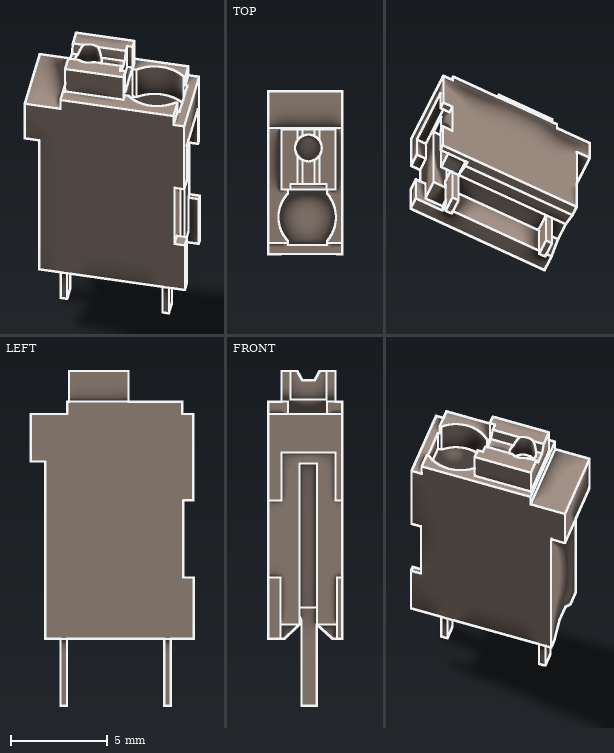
import cadquery as cq


width = 3.85
depth = 8.5
top_z = 12.33
shoulder_z = 11.7
upper_front_y = 0.03
front_wall_y = 0.55
rear_wall_y = 7.74
overhang_bottom_z = 9.22
crown_front_y = 0.6
crown_rear_y = 6.6

upper_lip_bottom_z = 7.2
upper_gap = (0.69, 3.51)
upper_gap_top_z = 9.7
lower_lip_top_z = 3.2
lower_gap = (0.63, 3.57)

groove = (1.62, 2.53)
groove_floor_y = 1.28
groove_top_z = 9.13

underside_z = 0.74
channel_mouth = (0.84, 3.35)

well_slot = (1.04, 3.05)
well_front_y = 0.5
well_floor_z = 10.37
bulge = (0.53, 3.52)
bulge_y = 1.95
bulge_half_length = 1.25

button_side = (0.69, 3.51)
button_front_y = 3.4
button_rear_y = 6.5
button_top_z = 13.93
button_notch = (1.15, 3.04)
button_notch_floor_z = 12.45
button_notch_depth = 0.29
vee_x = 2.09
vee_top_width = 1.16
vee_bottom_width = 0.64
vee_depth = 0.48
hole_x = vee_x
hole_y = 5.55
hole_radius = 0.695
hole_depth = 1.5

overall_height = 17.42
pin_thickness = 0.35
pin_front_ys = (1.2, 6.6)
pin_top_z = 1.62
pin_tip_z = button_top_z - overall_height
pin_left_x = 1.72
taper_top_z = 1.2
taper_bottom_z = 0.95


def block(x_span, y_span, z_span):
    """Box filling the given spans along X, Y and Z."""
    size = [end - start for start, end in (x_span, y_span, z_span)]
    corner = (x_span[0], y_span[0], z_span[0])
    box = cq.Workplane("XY").box(*size, centered=False)
    return box.translate(corner)


def front_profile(points, y_span):
    """Prism with an XZ outline, running along Y."""
    sketch = cq.Workplane("XZ", origin=(0, y_span[0], 0)).polyline(points).close()
    return sketch.extrude(y_span[0] - y_span[1])


def housing_blank():
    side_outline = [
        (upper_front_y, lower_lip_top_z),
        (upper_front_y, shoulder_z),
        (crown_front_y, shoulder_z),
        (crown_front_y, top_z),
        (crown_rear_y, top_z),
        (crown_rear_y, shoulder_z),
        (depth, shoulder_z),
        (depth, overhang_bottom_z),
        (rear_wall_y, overhang_bottom_z),
        (rear_wall_y, 0),
        (0, 0),
        (0, lower_lip_top_z),
    ]
    return cq.Workplane("YZ").polyline(side_outline).close().extrude(width)


def cut_front(body):
    """Leave only the lips in front of the front wall, and cut the groove."""
    recess_y = (0, front_wall_y)
    body = body.cut(block(lower_gap, recess_y, (0, lower_lip_top_z)))
    body = body.cut(block((0, width), recess_y, (lower_lip_top_z, upper_lip_bottom_z)))
    body = body.cut(block(upper_gap, recess_y, (upper_lip_bottom_z, upper_gap_top_z)))
    return body.cut(block(groove, (0, groove_floor_y), (0, groove_top_z)))


def cut_underside(body):
    """Recess around the front pin, then a flared channel to the rear."""
    recess_rear_y = pin_front_ys[0] + pin_thickness
    body = body.cut(block(lower_gap, (0, recess_rear_y), (0, underside_z)))
    flare = [
        (channel_mouth[0], 0),
        (groove[0], underside_z),
        (groove[1], underside_z),
        (channel_mouth[1], 0),
    ]
    return body.cut(front_profile(flare, (0, depth)))


def cut_screw_well(body):
    bulge_start_y = bulge_y - bulge_half_length
    bulge_end_y = bulge_y + bulge_half_length
    left, right = well_slot
    outline = (
        cq.Workplane("XY", origin=(0, 0, well_floor_z))
        .moveTo(left, well_front_y)
        .lineTo(right, well_front_y)
        .lineTo(right, bulge_start_y)
        .threePointArc((bulge[1], bulge_y), (right, bulge_end_y))
        .lineTo(right, button_front_y)
        .lineTo(left, button_front_y)
        .lineTo(left, bulge_end_y)
        .threePointArc((bulge[0], bulge_y), (left, bulge_start_y))
        .close()
    )
    return body.cut(outline.extrude(top_z - well_floor_z))


def pin_pocket(front_y):
    """Seat for the wide head of a pin."""
    return block(groove, (front_y, front_y + pin_thickness), (underside_z, pin_top_z))


def make_housing():
    body = cut_screw_well(cut_underside(cut_front(housing_blank())))
    button_y = (button_front_y, button_rear_y)
    body = body.cut(block(button_side, button_y, (well_floor_z, top_z)))
    for front_y in pin_front_ys:
        body = body.cut(pin_pocket(front_y))
    return body


def make_button():
    button_y = (button_front_y, button_rear_y)
    body = block(button_side, button_y, (well_floor_z, button_top_z))
    notch_y = (button_front_y, button_front_y + button_notch_depth)
    body = body.cut(block(button_notch, notch_y, (button_notch_floor_z, button_top_z)))
    vee = [
        (vee_x - vee_top_width / 2, button_top_z),
        (vee_x - vee_bottom_width / 2, button_top_z - vee_depth),
        (vee_x + vee_bottom_width / 2, button_top_z - vee_depth),
        (vee_x + vee_top_width / 2, button_top_z),
    ]
    body = body.cut(front_profile(vee, button_y))
    hole = cq.Workplane("XY", origin=(hole_x, hole_y, button_top_z)).circle(hole_radius)
    return body.cut(hole.extrude(-hole_depth))


def make_pin(front_y):
    """Flat pin whose head tapers on one side to a narrower leg."""
    outline = [
        (groove[0], pin_top_z),
        (groove[1], pin_top_z),
        (groove[1], pin_tip_z),
        (pin_left_x, pin_tip_z),
        (pin_left_x, taper_bottom_z),
        (groove[0], taper_top_z),
    ]
    return front_profile(outline, (front_y, front_y + pin_thickness))


housing = make_housing()
button = make_button()
pins = [make_pin(front_y) for front_y in pin_front_ys]

result = cq.Compound.makeCompound([housing.val(), button.val(), *[pin.val() for pin in pins]])